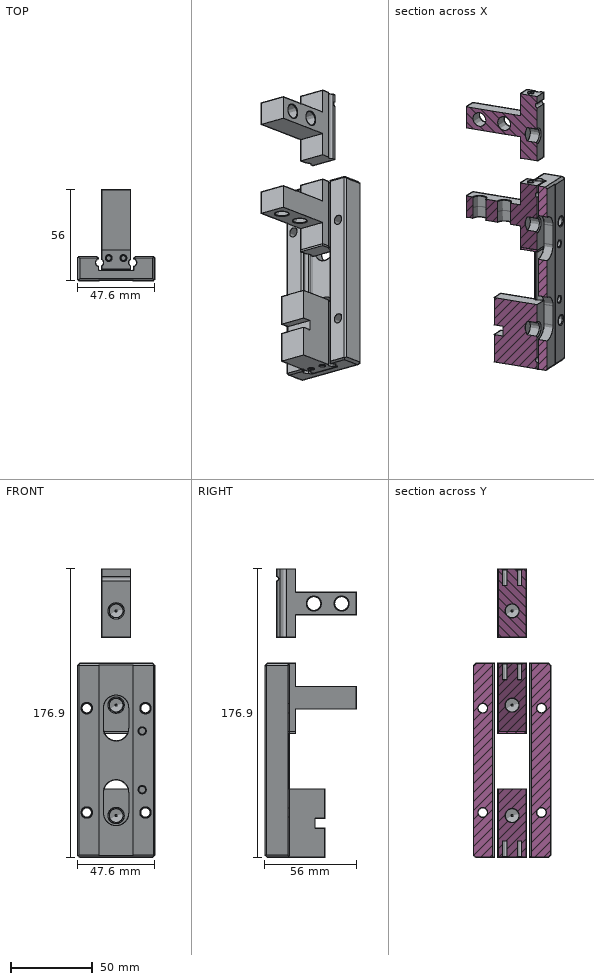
import cadquery as cq
import math


rail_width = 47.6
rail_depth = 15.0
rail_height = 119.1
long_edge_chamfer = 1.0
end_chamfer = 1.5
end_back_chamfer = 1.1
channel_width = 21.6
channel_floor_y = 6.5
channel_corner_radius = 0.5
lip_chamfer = 1.1
relief_width = 21.0
relief_depth = 0.3
slot_width = 15.5
slot_length = 28.0
slot_offset = 26.0
mount_hole_diameter = 5.8
mount_hole_rim = 7.0
mount_hole_x = 18.0
mount_hole_offset = 32.0
side_hole_diameter = 4.2
side_hole_rim = 5.0
side_hole_depth = 10.0
side_hole_x = 16.0
side_hole_offset = 18.0

track_radius = 2.4
track_x = 10.15
track_y = 11.2

overall_depth = 56.02
overall_height = 176.9
carriage_width = 17.8
carriage_height = 42.0
carriage_front_y = 7.1
carriage_back_y = 18.8
groove_radius = 1.5
groove_depth = 1.25
groove_from_end = 6.0
clamp_hole_diameter = 8.4
clamp_hole_rim = 10.0
clamp_hole_depth = 7.0
clamp_hole_from_end = 25.7
clamp_hole_tip = 1.2
drill_point_angle = 140.0
end_hole_diameter = 3.0
end_hole_rim = 4.2
end_hole_depth = 10.0
end_hole_x = 4.5
end_hole_y = 14.0

arm_height = 14.0
arm_bottom = 13.8
arm_hole_diameter = 8.5
arm_hole_rim = 9.2
arm_hole_y = (30.0, 47.0)
block_back_y = 36.8
notch_size = 6.0
plate_thickness = 1.2


def drill(start, direction, diameter, rim, depth, point_height=0.0, tip=0.0):
    """Cutter for a hole with a 45 degree chamfered rim and, if asked, a cone down to a flat tip."""
    radius = diameter / 2
    rim_radius = rim / 2
    outline = (
        cq.Workplane("XZ")
        .moveTo(0, 0)
        .lineTo(rim_radius, 0)
        .lineTo(radius, rim_radius - radius)
        .lineTo(radius, depth)
    )
    if point_height > 0:
        outline = outline.lineTo(tip / 2, depth + point_height)
    outline = outline.lineTo(0, depth + point_height)
    cutter = outline.close().revolve(360, (0, 0, 0), (0, 1, 0)).val()
    plane = cq.Plane(origin=start, normal=direction)
    return cq.Workplane(cutter.moved(cq.Location(plane)))


def box(x_size, y_min, y_max, z_min, z_max):
    """Block centred on X = 0 between the given Y and Z limits."""
    return (
        cq.Workplane("XY", origin=(0, y_min, z_min))
        .box(x_size, y_max - y_min, z_max - z_min, centered=(True, False, False))
    )


def ball_tracks(height):
    """Round bars that cut the ball tracks on both sides, from Z = 0 up."""
    centers = [(-track_x, track_y), (track_x, track_y)]
    return cq.Workplane("XY").pushPoints(centers).circle(track_radius).extrude(height)


def make_bar():
    """Plain rail bar with its long edges and end edges chamfered."""
    block = box(rail_width, 0, rail_depth, 0, rail_height)
    long_edges = block.edges("|Z").chamfer(long_edge_chamfer)
    ends = block.edges("|Y").chamfer(end_chamfer)
    ends = ends.faces("<Y").edges("|X").chamfer(end_chamfer)
    ends = ends.faces(">Y").edges("|X").chamfer(end_back_chamfer)
    return long_edges.intersect(ends)


def make_channel():
    """Cutter for the channel along the back of the rail, with its lips and ball tracks."""
    channel = box(channel_width, channel_floor_y, rail_depth, 0, rail_height)
    channel = channel.edges("|Z and <Y").fillet(channel_corner_radius)
    lip = channel_width / 2
    lips = (
        cq.Workplane("XY")
        .polyline([
            (-lip - lip_chamfer, rail_depth),
            (-lip, rail_depth - lip_chamfer),
            (lip, rail_depth - lip_chamfer),
            (lip + lip_chamfer, rail_depth),
        ])
        .close()
        .extrude(rail_height)
    )
    return channel.union(lips).union(ball_tracks(rail_height))


def make_rail():
    middle_z = rail_height / 2
    relief = box(relief_width, 0, relief_depth, 0, rail_height)
    rail = make_bar().cut(relief).cut(make_channel())

    for side in (-1, 1):
        slot = (
            cq.Workplane("XZ", origin=(0, 0, middle_z + side * slot_offset))
            .slot2D(slot_length, slot_width, 90)
            .extrude(-rail_depth)
        )
        rail = rail.cut(slot)

        for x in (-mount_hole_x, mount_hole_x):
            start = (x, 0, middle_z + side * mount_hole_offset)
            hole = drill(start, (0, 1, 0), mount_hole_diameter, mount_hole_rim, rail_depth)
            rail = rail.cut(hole)

        start = (side_hole_x, 0, middle_z + side * side_hole_offset)
        hole = drill(start, (0, 1, 0), side_hole_diameter, side_hole_rim, side_hole_depth)
        rail = rail.cut(hole)
    return rail


def make_carriage():
    """Ball carriage standing on Z = 0, with its wiper groove near the top end."""
    carriage = box(carriage_width, carriage_front_y, carriage_back_y, 0, carriage_height)
    carriage = carriage.cut(ball_tracks(carriage_height))

    groove = (
        cq.Workplane("YZ", origin=(-carriage_width / 2, 0, 0))
        .center(carriage_front_y + groove_depth - groove_radius, carriage_height - groove_from_end)
        .circle(groove_radius)
        .extrude(carriage_width)
    )
    carriage = carriage.cut(groove)

    point_height = (clamp_hole_diameter - clamp_hole_tip) / 2 / math.tan(math.radians(drill_point_angle / 2))
    start = (0, carriage_front_y, carriage_height - clamp_hole_from_end)
    hole = drill(
        start,
        (0, 1, 0),
        clamp_hole_diameter,
        clamp_hole_rim,
        clamp_hole_depth,
        point_height,
        clamp_hole_tip,
    )
    carriage = carriage.cut(hole)

    for x in (-end_hole_x, end_hole_x):
        start = (x, end_hole_y, carriage_height)
        hole = drill(start, (0, 0, -1), end_hole_diameter, end_hole_rim, end_hole_depth)
        carriage = carriage.cut(hole)
    return carriage


def add_arm(carriage):
    arm = box(carriage_width, carriage_back_y, overall_depth, arm_bottom, arm_bottom + arm_height)
    return carriage.union(arm)


def drill_arm(carriage, start_x, start_z, direction, length):
    """Drill the two arm holes, chamfered at both mouths."""
    for y in arm_hole_y:
        near = cq.Vector(start_x, y, start_z)
        far = near + cq.Vector(*direction) * length
        back = tuple(-component for component in direction)
        for start, heading in ((near, direction), (far, back)):
            hole = drill(start, heading, arm_hole_diameter, arm_hole_rim, length / 2)
            carriage = carriage.cut(hole)
    return carriage


def make_cross_arm_carriage():
    """Carriage whose arm is drilled across, along X."""
    carriage = add_arm(make_carriage())
    arm_middle = arm_bottom + arm_height / 2
    return drill_arm(carriage, -carriage_width / 2, arm_middle, (1, 0, 0), carriage_width)


def make_upright_arm_carriage():
    """Carriage whose arm is drilled along Z."""
    carriage = add_arm(make_carriage())
    return drill_arm(carriage, 0, arm_bottom, (0, 0, 1), arm_height)


def make_block_carriage():
    """Carriage turned end for end, with a notched block on its back."""
    pivot_start = (0, 0, carriage_height / 2)
    pivot_end = (0, 1, carriage_height / 2)
    carriage = make_carriage().rotate(pivot_start, pivot_end, 180)
    block = box(carriage_width, carriage_back_y, block_back_y, 0, carriage_height)
    notch_bottom = (carriage_height - notch_size) / 2
    notch = box(
        carriage_width, block_back_y - notch_size, block_back_y, notch_bottom, notch_bottom + notch_size
    )
    return carriage.union(block).cut(notch)


def make_end_plate():
    """Thin plate with the carriage's cross-section."""
    plate = box(carriage_width, carriage_front_y, carriage_back_y, 0, plate_thickness)
    return plate.cut(ball_tracks(plate_thickness))


mounted_bottom = rail_height - carriage_height

rail = make_rail()
cross_arm_carriage = make_cross_arm_carriage().translate((0, 0, overall_height - carriage_height))
upright_arm_carriage = make_upright_arm_carriage().translate((0, 0, mounted_bottom))
end_plate = make_end_plate().translate((0, 0, mounted_bottom - plate_thickness))
block_carriage = make_block_carriage()

result = cq.Compound.makeCompound([
    rail.val(),
    cross_arm_carriage.val(),
    upright_arm_carriage.val(),
    end_plate.val(),
    block_carriage.val(),
])